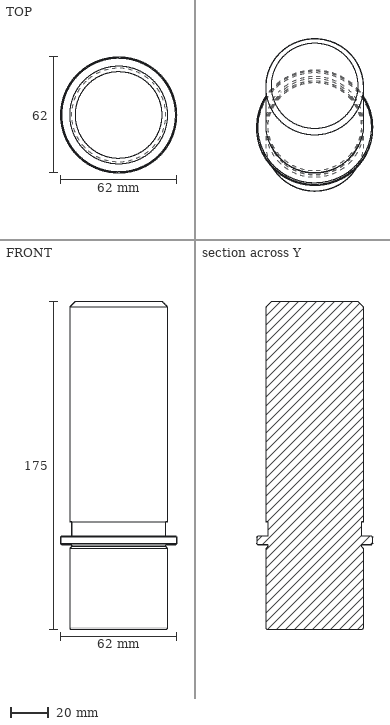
import cadquery as cq

total_height = 175.0
body_diameter = 52.2
neck_diameter = 50.0
flange_diameter = 62.0

base_top = 44.5
flange_bottom = 45.2
flange_thickness = 4.9
shank_bottom = 57.4

top_chamfer = 3.0
bottom_fillet = 1.0
flange_chamfer = 0.7


def cylinder(diameter, bottom, top):
    """Solid cylinder about the Z axis between two heights."""
    return cq.Workplane("XY").workplane(offset=bottom).circle(diameter / 2).extrude(top - bottom)


base = cylinder(body_diameter, 0, base_top).faces("<Z").edges().fillet(bottom_fillet)
base = base.faces(">Z").chamfer((body_diameter - neck_diameter) / 2)

neck = cylinder(neck_diameter, base_top, shank_bottom)

flange = cylinder(flange_diameter, flange_bottom, flange_bottom + flange_thickness)
flange = flange.edges().chamfer(flange_chamfer)

shank = cylinder(body_diameter, shank_bottom, total_height).faces(">Z").chamfer(top_chamfer)

result = base.union(neck).union(flange).union(shank)